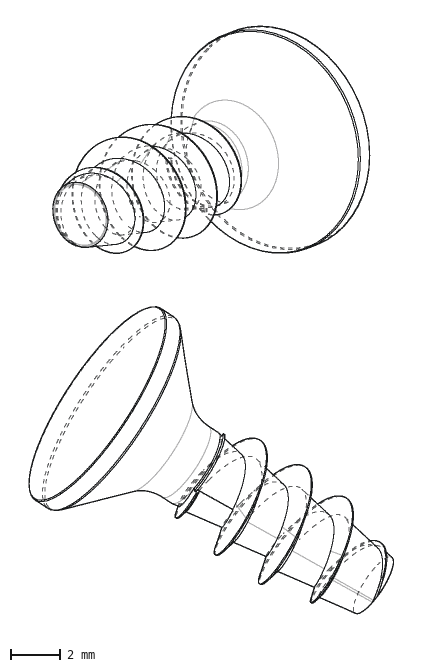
import cadquery as cq
import math

length = 14.0

head_radius = 4.65
rim_thickness = 0.75
rim_chamfer = 0.04
neck_radius = 1.72
neck_fillet = 1.9
neck_end = 4.93
core_radius = 1.35
tip_radius = 1.36
dimple_radius = 1.26
dimple_depth = 0.14

pitch = 2.24
thread_start = 5.05
thread_end = 13.75
full_thread_start = 7.0
full_thread_end = 10.64
thread_radius = 2.49
start_radius = 2.02
end_radius = 1.45
root_radius = 1.29
crest_half_width = 0.03
flank_slope = 0.36
samples_per_turn = 16
segments_per_turn = 2

taper_slope = 0.165
ramp_overlap = 0.04
run_in_radius = 1.96
run_in_width = 0.08
run_in_angle = 90.0


def revolved(points):
    """Revolve a closed (radius, depth) outline about Y."""
    outline = cq.Workplane("XY").polyline([(radius, -depth) for radius, depth in points]).close()
    return outline.revolve(360, (0, 0, 0), (0, 1, 0))


def make_head_and_core():
    arc_angle = math.radians(45)
    fillet_radius = neck_radius + neck_fillet * (1 - math.cos(arc_angle))
    cone_end = rim_thickness + head_radius - fillet_radius
    fillet_end = cone_end + neck_fillet * math.sin(arc_angle)
    mid_radius = neck_radius + neck_fillet * (1 - math.cos(arc_angle / 2))
    mid_depth = fillet_end - neck_fillet * math.sin(arc_angle / 2)
    core_start = neck_end + (neck_radius - core_radius) / taper_slope
    outline = (
        cq.Workplane("XY")
        .lineTo(head_radius - rim_chamfer, 0)
        .lineTo(head_radius, -rim_chamfer)
        .lineTo(head_radius, rim_chamfer - rim_thickness)
        .lineTo(head_radius - rim_chamfer, -rim_thickness - rim_chamfer)
        .lineTo(fillet_radius, -cone_end)
        .threePointArc((mid_radius, -mid_depth), (neck_radius, -fillet_end))
        .lineTo(neck_radius, -neck_end)
        .lineTo(core_radius, -core_start)
        .lineTo(core_radius, -length)
        .lineTo(0, -length)
        .close()
    )
    return outline.revolve(360, (0, 0, 0), (0, 1, 0))


def helical_edge(first_depth, last_depth, offset, radius_at):
    """Helix around Y, shifted along the axis; the radius follows the unshifted depth."""
    count = math.ceil((last_depth - first_depth) / pitch * samples_per_turn)
    points = []
    for i in range(count + 1):
        depth = first_depth + (last_depth - first_depth) * i / count
        angle = 2 * math.pi * (depth - thread_start) / pitch
        radius = radius_at(depth)
        shift = offset(depth)
        points.append(cq.Vector(radius * math.sin(angle), -depth - shift, -radius * math.cos(angle)))
    return cq.Edge.makeSpline(points)


def helical_segment(first_depth, last_depth, corners):
    """Short solid swept by a polygon whose corners are (axial offset, radius) functions of depth."""
    edges = [helical_edge(first_depth, last_depth, offset, radius) for offset, radius in corners]
    faces = [cq.Face.makeRuledSurface(a, b) for a, b in zip(edges, edges[1:] + edges[:1])]
    for position in (0, 1):
        section = [edge.positionAt(position) for edge in edges]
        faces.append(cq.Face.makeFromWires(cq.Wire.makePolygon(section, close=True)))
    solid = cq.Solid.makeSolid(cq.Shell.makeShell(faces)).fix()
    return cq.Workplane("XY").add(solid)


def helical_segments(first_depth, last_depth, corners):
    """Split a long helical band into consecutive short solids that fuse reliably."""
    count = math.ceil((last_depth - first_depth) / pitch * segments_per_turn)
    step = (last_depth - first_depth) / count
    starts = [first_depth + i * step for i in range(count)]
    return [helical_segment(start, start + step, corners) for start in starts]


def crest_radius(depth):
    """Thread crest rises, stays level and then runs out towards the tip."""
    rise = (depth - thread_start) / (full_thread_start - thread_start)
    fall = (thread_end - depth) / (thread_end - full_thread_end)
    rising = start_radius + (thread_radius - start_radius) * rise
    falling = end_radius + (thread_radius - end_radius) * fall
    return min(thread_radius, rising, falling)


def root_half_width(depth):
    return crest_half_width + flank_slope * (crest_radius(depth) - root_radius)


def make_thread():
    return helical_segments(thread_start, thread_end, [
        (lambda depth: -root_half_width(depth), lambda depth: root_radius),
        (lambda depth: -crest_half_width, crest_radius),
        (lambda depth: crest_half_width, crest_radius),
        (root_half_width, lambda depth: root_radius),
    ])


def make_core_ramp():
    """Tapered band that fills the core between neighbouring thread turns."""
    far_offset = pitch - ramp_overlap
    high_radius = neck_radius - taper_slope * ramp_overlap
    low_radius = neck_radius - taper_slope * far_offset
    return helical_segments(thread_start, length, [
        (lambda depth: ramp_overlap, lambda depth: root_radius),
        (lambda depth: ramp_overlap, lambda depth: high_radius),
        (lambda depth: far_offset, lambda depth: low_radius),
        (lambda depth: far_offset, lambda depth: root_radius),
    ])


def make_run_in():
    """Thin collar sector from -X to -Z that leads into the thread."""
    outline = cq.Workplane("XY").polyline([
        (-root_radius, -neck_end),
        (-run_in_radius, -neck_end),
        (-run_in_radius, -neck_end - run_in_width),
        (-root_radius, -neck_end - run_in_width),
    ]).close()
    return outline.revolve(run_in_angle, (0, 0, 0), (0, -1, 0))


def make_tip_envelope():
    """Space the threaded shank may fill: its end tapers down to the tip radius."""
    outer_radius = head_radius + 0.14
    taper_start = length - (neck_radius - tip_radius) / taper_slope
    return revolved([
        (0, neck_end), (outer_radius, neck_end), (outer_radius, taper_start),
        (neck_radius, taper_start), (tip_radius, length), (0, length),
    ])


def make_tip_dimple():
    return revolved([(0, length - dimple_depth), (dimple_radius, length), (0, length)])


tip_envelope = make_tip_envelope()
tip_cutter = cq.Workplane("XZ", origin=(0, -length, 0)).circle(head_radius).extrude(pitch)

screw = make_head_and_core()
for segment in make_core_ramp():
    screw = screw.union(segment.intersect(tip_envelope), clean=False)
for segment in make_thread():
    screw = screw.union(segment, clean=False)
screw = screw.union(make_run_in(), clean=False)
result = screw.cut(tip_cutter, clean=False).cut(make_tip_dimple(), clean=False)